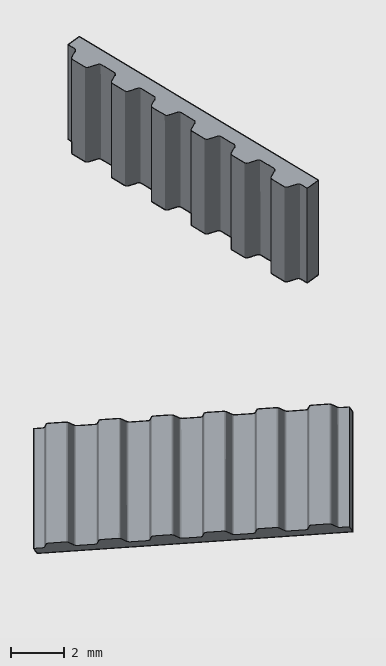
import cadquery as cq
import math

length = 12.19
belt_width = 4.75
total_thickness = 1.15
tooth_height = 0.51
tooth_count = 6
tooth_base_width = 1.21
flank_angle = 22.0
edge_radius = 0.13

pitch = length / tooth_count
backing_thickness = total_thickness - tooth_height
tooth_tip_width = tooth_base_width - 2 * tooth_height * math.tan(math.radians(flank_angle))

back_y = total_thickness / 2
root_y = back_y - backing_thickness
tip_y = -total_thickness / 2


def tooth_corners(center_x):
    """Corners of one tooth, from its left root to its right root."""
    return [
        (center_x - tooth_base_width / 2, root_y),
        (center_x - tooth_tip_width / 2, tip_y),
        (center_x + tooth_tip_width / 2, tip_y),
        (center_x + tooth_base_width / 2, root_y),
    ]


outline = [(-length / 2, back_y), (-length / 2, root_y)]
for index in range(tooth_count):
    outline += tooth_corners(-length / 2 + (index + 0.5) * pitch)
outline += [(length / 2, root_y), (length / 2, back_y)]

belt = cq.Workplane("XY").polyline(outline).close().extrude(belt_width)

inner_half_length = length / 2 - edge_radius
tooth_edges = cq.selectors.BoxSelector(
    (-inner_half_length, tip_y - edge_radius, 0),
    (inner_half_length, root_y + edge_radius, belt_width),
)
result = belt.edges("|Z").edges(tooth_edges).fillet(edge_radius)